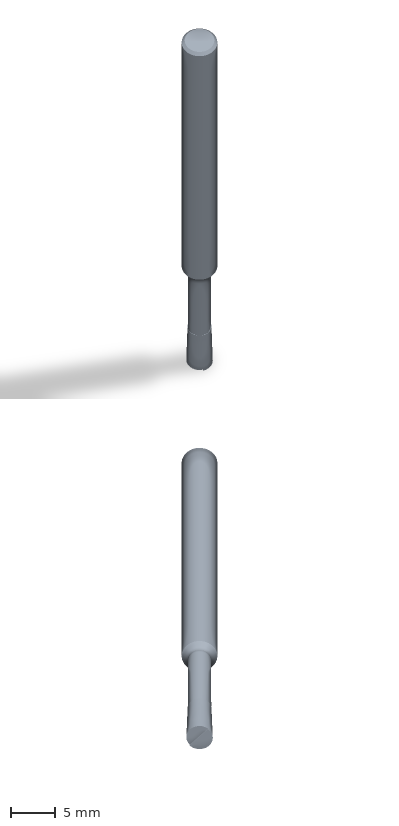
import cadquery as cq

total_length = 57.0
shank_radius = 2.0
end_chamfer = 0.35
shank_bottom = 16.9

neck_radius = 1.3
shoulder_height = 0.8

head_top = 6.1
head_top_diameter = 2.7
head_top_radius = head_top_diameter / 2
tip_radius = 1.5

notch_offset = 0.05
notch_rise = 1.35
notch_turn = 24.0

relief_start = 0.1
relief_height = 0.15


def revolved_body():
    """Shank, shoulder, neck and head as one turned profile."""
    profile = [
        (0, 0),
        (tip_radius, 0),
        (head_top_radius, head_top),
        (neck_radius, head_top),
        (neck_radius, shank_bottom - shoulder_height),
        (shank_radius, shank_bottom),
        (shank_radius, total_length - end_chamfer),
        (shank_radius - end_chamfer, total_length),
        (0, total_length),
    ]
    return cq.Workplane("XZ").polyline(profile).close().revolve(360, (0, 0), (0, 1))


def neck_notch():
    """Triangular prism with a flat floor on the head and a wall that climbs outward."""
    reach = 2 * neck_radius
    wall_run = neck_radius - notch_offset
    reach_rise = notch_rise * (reach - notch_offset) / wall_run
    section = [
        (notch_offset, head_top),
        (reach, head_top),
        (reach, head_top + reach_rise),
    ]
    prism = cq.Workplane("YZ").polyline(section).close().extrude(reach, both=True)
    return prism.rotate((0, 0, 0), (0, 0, 1), notch_turn)


def tip_relief():
    """Flat step that leaves the +Y half of the tip standing proud."""
    width = 2 * tip_radius
    return (
        cq.Workplane("XY")
        .box(2 * width, width, relief_height, centered=(True, False, False))
        .translate((0, -relief_start - width, 0))
    )


result = revolved_body().cut(neck_notch()).cut(tip_relief())